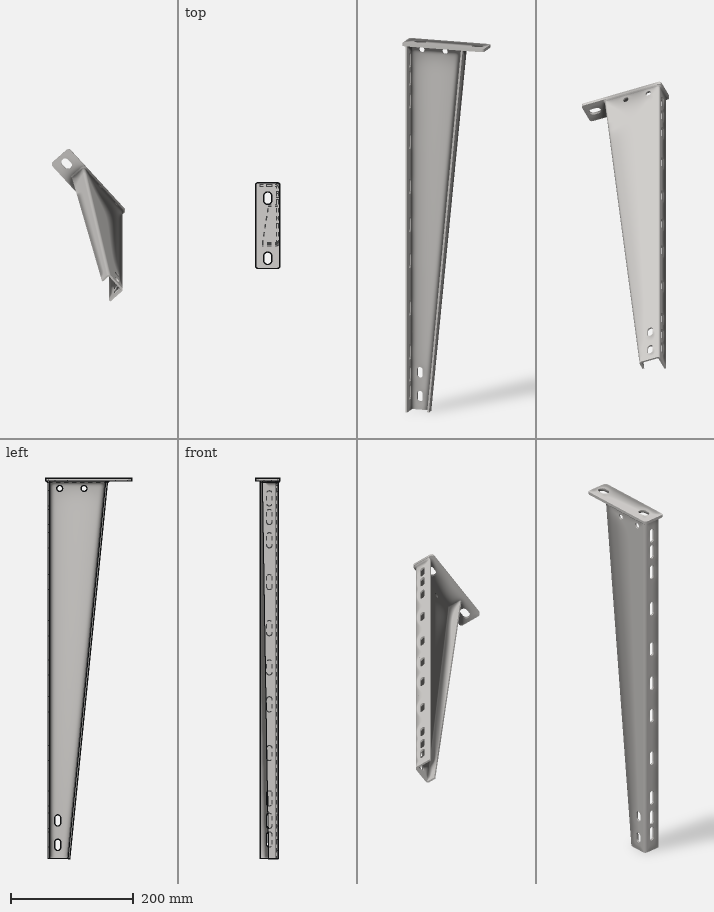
import cadquery as cq
import math

OVERALL_HEIGHT = 620.0
PLATE_WIDTH = 40.0
PLATE_LENGTH = 140.0
PLATE_THICKNESS = 5.0
PLATE_CORNER_RADIUS = 4.5
PLATE_SLOT_WIDTH = 13.0
PLATE_SLOT_LENGTH = 20.0
PLATE_SLOT_YS = (44.5, -53.5)

SHEET_THICKNESS = 3.0
BEND_OUTER_RADIUS = 4.45
WEB_OUTER_X = 17.5
BACK_INSET = 3.5
BACK_FLANGE_WIDTH = 30.0
FRONT_FLANGE_TOP_WIDTH = 26.0
FRONT_FLANGE_BOTTOM_WIDTH = 16.0
ARM_TOP_DEPTH = 98.0
ARM_BOTTOM_DEPTH = 36.0

WEB_HOLE_DIAMETER = 9.0
WEB_HOLE_DEPTHS = (19.0, 59.0)
WEB_HOLE_Z = 603.5
WEB_SLOT_LENGTH = 18.0
WEB_SLOT_WIDTH = WEB_HOLE_DIAMETER
WEB_SLOT_DEPTH = 16.0
WEB_SLOT_ZS = (23.0, 62.5)

BACK_SLOT_WIDTH = 8.5
BACK_SLOT_LENGTH = 25.0
BACK_SLOT_ZS = (31.5, 62.0, 98.5, 172.5, 252.0, 312.0, 376.0, 451.0, 519.0, 557.0, 587.5)

BEAD_SIZE = 2.5
BEAD_ANGLE = 45

slope_angle = math.atan((ARM_TOP_DEPTH - ARM_BOTTOM_DEPTH) / OVERALL_HEIGHT)
web_top = OVERALL_HEIGHT - PLATE_THICKNESS
web_bottom = BEND_OUTER_RADIUS * math.sin(slope_angle)
web_height = web_top - web_bottom
slope_length = web_height / math.cos(slope_angle)

back_y = PLATE_LENGTH / 2 - BACK_INSET
back_bend_y = back_y - BEND_OUTER_RADIUS
bend_depth_on_slope = BEND_OUTER_RADIUS / math.cos(slope_angle)
front_bend_bottom_y = back_y - ARM_BOTTOM_DEPTH + bend_depth_on_slope
front_bend_top_y = front_bend_bottom_y - web_height * math.tan(slope_angle)
front_top_y = front_bend_top_y - bend_depth_on_slope
back_flange_edge_x = WEB_OUTER_X - BACK_FLANGE_WIDTH
front_flange_edge_x = WEB_OUTER_X - FRONT_FLANGE_TOP_WIDTH


def make_plate():
    """Rectangular plate with rounded corners and two slots along Y."""
    plate = (
        cq.Workplane("XY", origin=(0, 0, web_top))
        .rect(PLATE_WIDTH, PLATE_LENGTH)
        .extrude(PLATE_THICKNESS)
        .edges("|Z")
        .fillet(PLATE_CORNER_RADIUS)
    )
    slots = (
        cq.Workplane("XY", origin=(0, 0, web_top))
        .pushPoints([(0, y) for y in PLATE_SLOT_YS])
        .slot2D(PLATE_SLOT_LENGTH, PLATE_SLOT_WIDTH, 90)
        .extrude(PLATE_THICKNESS)
    )
    return plate.cut(slots)


def make_web():
    """Flat web between the two bends, with round holes at the top and slots at the bottom."""
    web_face = cq.Workplane("YZ", origin=(WEB_OUTER_X, 0, 0))
    web = (
        web_face.polyline(
            [
                (back_bend_y, web_bottom),
                (back_bend_y, web_top),
                (front_bend_top_y, web_top),
                (front_bend_bottom_y, web_bottom),
            ]
        )
        .close()
        .extrude(-SHEET_THICKNESS)
    )
    holes = (
        web_face.pushPoints([(back_y - depth, WEB_HOLE_Z) for depth in WEB_HOLE_DEPTHS])
        .circle(WEB_HOLE_DIAMETER / 2)
        .extrude(-SHEET_THICKNESS)
    )
    slots = (
        web_face.pushPoints([(back_y - WEB_SLOT_DEPTH, z) for z in WEB_SLOT_ZS])
        .slot2D(WEB_SLOT_LENGTH, WEB_SLOT_WIDTH, 90)
        .extrude(-SHEET_THICKNESS)
    )
    return web.cut(holes).cut(slots)


def make_flange(bend_plane, width, length):
    """Bend and flange swept along the plane's normal; the plane's origin is where the bend starts
    on the outer face of the web, and its y axis points away from the web."""
    outer = BEND_OUTER_RADIUS
    inner = outer - SHEET_THICKNESS
    outer_offset = outer * math.sqrt(0.5)
    inner_offset = inner * math.sqrt(0.5)
    return (
        cq.Workplane(bend_plane)
        .threePointArc((outer_offset - outer, outer_offset), (-outer, outer))
        .lineTo(-width, outer)
        .lineTo(-width, inner)
        .lineTo(-outer, inner)
        .threePointArc((inner_offset - outer, inner_offset), (-SHEET_THICKNESS, 0))
        .close()
        .extrude(length)
    )


def make_back_flange():
    """Upright flange with a row of slots along its middle."""
    bend_plane = cq.Plane(origin=(WEB_OUTER_X, back_bend_y, web_bottom), xDir=(1, 0, 0), normal=(0, 0, 1))
    flange = make_flange(bend_plane, BACK_FLANGE_WIDTH, web_height)
    slots = (
        cq.Workplane("XZ", origin=(back_flange_edge_x + BACK_FLANGE_WIDTH / 2, back_y, 0))
        .pushPoints([(0, z) for z in BACK_SLOT_ZS])
        .slot2D(BACK_SLOT_LENGTH, BACK_SLOT_WIDTH, 90)
        .extrude(SHEET_THICKNESS)
    )
    return flange.cut(slots)


def make_front_flange():
    """Flange along the sloping edge of the web, narrowing from the top to the bottom."""
    bend_top = (WEB_OUTER_X, front_bend_top_y, web_top)
    down_slope = (0, math.sin(slope_angle), -math.cos(slope_angle))
    outward = (0, -math.cos(slope_angle), -math.sin(slope_angle))
    bend_plane = cq.Plane(origin=bend_top, xDir=(1, 0, 0), normal=down_slope)
    flange = make_flange(bend_plane, FRONT_FLANGE_TOP_WIDTH, slope_length)
    flange_plane = cq.Plane(origin=bend_top, xDir=(1, 0, 0), normal=outward)
    taper = (
        cq.Workplane(flange_plane)
        .moveTo(-FRONT_FLANGE_TOP_WIDTH, 0)
        .lineTo(-FRONT_FLANGE_BOTTOM_WIDTH, -slope_length)
        .lineTo(-FRONT_FLANGE_TOP_WIDTH, -slope_length)
        .close()
        .extrude(BEND_OUTER_RADIUS)
    )
    return flange.cut(taper)


def make_outline_block(inset, taper):
    """Block as high as the bead, with the outer outline of the arm's top moved inwards by the inset on
    its three closed sides. A negative taper angle widens it upwards."""
    front_y = front_top_y + inset
    rear_y = back_y - inset
    web_x = WEB_OUTER_X - inset
    open_x = back_flange_edge_x - 2 * BEAD_SIZE
    radius = BEND_OUTER_RADIUS - inset
    corner_offset = radius * (1 - math.sqrt(0.5))
    return (
        cq.Workplane("XY", origin=(0, 0, web_top - BEAD_SIZE))
        .moveTo(open_x, front_y)
        .lineTo(web_x - radius, front_y)
        .threePointArc((web_x - corner_offset, front_y + corner_offset), (web_x, front_y + radius))
        .lineTo(web_x, rear_y - radius)
        .threePointArc((web_x - corner_offset, rear_y - corner_offset), (web_x - radius, rear_y))
        .lineTo(open_x, rear_y)
        .close()
        .extrude(BEAD_SIZE, taper=taper)
    )


def make_weld_bead():
    """Sloping bead around the outside of both flanges and the web, reaching half way into the sheet."""
    bead = make_outline_block(0, -BEAD_ANGLE).cut(make_outline_block(SHEET_THICKNESS / 2, 0))
    bead_base = cq.Workplane("XY", origin=(0, 0, web_top - BEAD_SIZE))
    past_back_edge = (
        bead_base.center(back_flange_edge_x, 0)
        .rect(-PLATE_WIDTH, PLATE_LENGTH / 2, centered=False)
        .extrude(BEAD_SIZE)
    )
    past_front_edge = (
        bead_base.center(front_flange_edge_x, 0)
        .rect(-PLATE_WIDTH, -PLATE_LENGTH / 2, centered=False)
        .extrude(BEAD_SIZE)
    )
    return bead.cut(past_back_edge).cut(past_front_edge)


plate = make_plate()
arm = make_web().union(make_back_flange()).union(make_front_flange()).union(make_weld_bead())

result = cq.Compound.makeCompound([plate.solids().val(), arm.solids().val()])